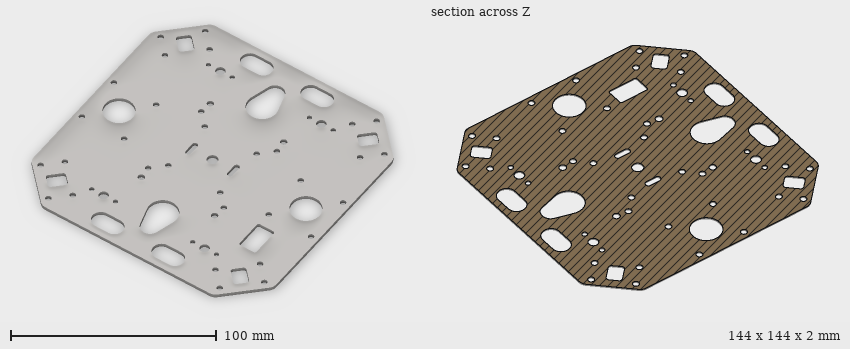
import cadquery as cq
import math

side = 144.0
thickness = 2.0
corner_chamfer = 21.2
corner_radius = 5.2

screw_hole = 3.2
pilot_hole = 2.6
stud_hole = 3.6
locating_hole = 5.0
centre_hole = 5.8
side_opening = 16.1

side_opening_x = 55.5
side_screw_xs = (42.9, 68.0)
side_screw_y = 13.5
stud_position = (21.7, 29.2)
inner_screw_offsets = (15.4, 22.5)
locating_position = (30.0, 49.4)
pilot_spacing = 7.0

corner_screw_inner = (42.3, 57.9)
corner_screw_outer = (50.8, 66.4)
corner_window_centre = 54.3
corner_window_length = 10.0
corner_window_width = 7.8
corner_window_radius = 1.5

edge_slot_length = 17.9
edge_slot_width = 10.0
edge_slot_position = (18.0, 63.0)
centre_slot_length = 8.6
centre_slot_width = 3.0
centre_slot_x = 12.4

teardrop_big_radius = 8.0
teardrop_small_radius = 5.0
teardrop_big_y = 42.0
teardrop_small_y = 52.8

window_width = 10.0
window_height = 16.5
window_radius = 1.0
window_centre = (47.0, -29.5)

cut_base = -thickness
cut_height = 3 * thickness


def mirrored(x, y):
    """The four points that mirror (x, y) about both plate axes."""
    return [(sx * x, sy * y) for sx in (1, -1) for sy in (1, -1)]


def cutter_plane():
    return cq.Workplane("XY").workplane(offset=cut_base)


def round_cutter(points, diameter):
    return cutter_plane().pushPoints(points).circle(diameter / 2).extrude(cut_height)


def slot_cutter(points, length, width, angle=0):
    return cutter_plane().pushPoints(points).slot2D(length, width, angle).extrude(cut_height)


def window_cutter(centre, length, width, radius, angle=0):
    window = cq.Workplane("XY").rect(length, width).extrude(cut_height).edges("|Z").fillet(radius)
    return window.rotate((0, 0, 0), (0, 0, 1), angle).translate((*centre, cut_base))


def teardrop_cutter(direction):
    """Big and small arcs joined by common tangents; the small end points along direction * Y."""
    lean = math.asin((teardrop_big_radius - teardrop_small_radius) / (teardrop_small_y - teardrop_big_y))
    big_x = teardrop_big_radius * math.cos(lean)
    big_y = direction * (teardrop_big_y + teardrop_big_radius * math.sin(lean))
    small_x = teardrop_small_radius * math.cos(lean)
    small_y = direction * (teardrop_small_y + teardrop_small_radius * math.sin(lean))
    return (
        cutter_plane()
        .moveTo(big_x, big_y)
        .lineTo(small_x, small_y)
        .threePointArc((0, direction * (teardrop_small_y + teardrop_small_radius)), (-small_x, small_y))
        .lineTo(-big_x, big_y)
        .threePointArc((0, direction * (teardrop_big_y - teardrop_big_radius)), (big_x, big_y))
        .close()
        .extrude(cut_height)
    )


plate = (
    cq.Workplane("XY")
    .rect(side, side)
    .extrude(thickness)
    .edges("|Z")
    .chamfer(corner_chamfer)
    .edges("|Z")
    .fillet(corner_radius)
)

screw_points = []
for x in side_screw_xs:
    screw_points += mirrored(x, side_screw_y)
for offset in inner_screw_offsets:
    screw_points += mirrored(offset, offset)
for near, far in (corner_screw_inner, corner_screw_outer):
    screw_points += mirrored(near, far) + mirrored(far, near)
plate = plate.cut(round_cutter(screw_points, screw_hole))

locating_x, locating_y = locating_position
pilot_points = []
for x in (locating_x - pilot_spacing, locating_x + pilot_spacing):
    pilot_points += mirrored(x, locating_y)
plate = plate.cut(round_cutter(mirrored(*stud_position), stud_hole))
plate = plate.cut(round_cutter(mirrored(*locating_position), locating_hole))
plate = plate.cut(round_cutter(pilot_points, pilot_hole))

plate = plate.cut(round_cutter([(0, 0)], centre_hole))
plate = plate.cut(round_cutter([(-side_opening_x, 0), (side_opening_x, 0)], side_opening))

centre_slot_points = [(-centre_slot_x, 0), (centre_slot_x, 0)]
plate = plate.cut(slot_cutter(mirrored(*edge_slot_position), edge_slot_length, edge_slot_width))
plate = plate.cut(slot_cutter(centre_slot_points, centre_slot_length, centre_slot_width, 90))

for direction in (1, -1):
    plate = plate.cut(teardrop_cutter(direction))

for x, y in mirrored(corner_window_centre, corner_window_centre):
    diagonal_angle = math.degrees(math.atan2(y, x))
    plate = plate.cut(
        window_cutter((x, y), corner_window_length, corner_window_width, corner_window_radius, diagonal_angle)
    )

plate = plate.cut(window_cutter(window_centre, window_width, window_height, window_radius))

result = plate